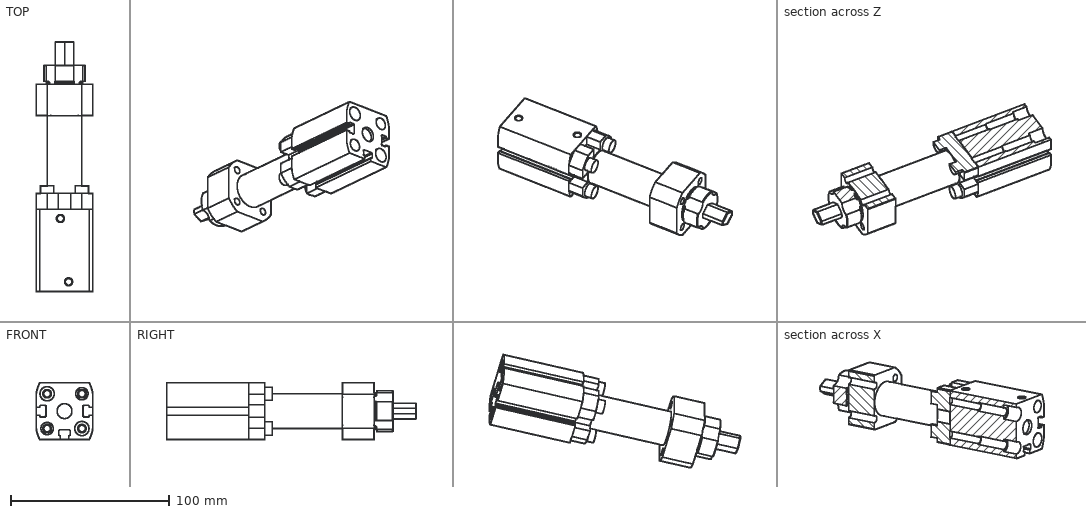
import cadquery as cq
import math

SIZE = 36.0
HALF = SIZE / 2
BOLT_OFFSET = 11.0

BLOCK_END = 52.1
FLANGE_END = BLOCK_END + 10.0
HEAD_END = FLANGE_END + 4.8
CLAMP_START = 111.2
CLAMP_END = CLAMP_START + 20.0
COLLAR_END = 143.2
SHAFT_END = 158.0

TOP_FLAT_HALF = 15.6
SIDE_FLAT_HALF = 11.1
ARC_END_X = 16.0
ARC_END_Z = 17.5
SIDE_ARC_RADIUS = 30.0
SLOT_MOUTH_WIDTH = 5.2
SLOT_MOUTH_DEPTH = 2.4
SLOT_WIDTH = 7.2
SLOT_DEPTH = 6.2
SLOT_BEVEL = 0.5
COUNTERBORE_DIA = 9.0
THREAD_BORE_DIA = 7.8
CORNER_BORE_DEPTH = 10.0
BOLT_HOLE_DIA = 5.3
BOLT_CORE_DIA = 4.3
BOLT_STEP_DEPTH = 30.0
RECESS_DIA = 9.4
RECESS_DEPTH = 2.0
PORT_DIA = 4.2
PORT_MOUTH_DIA = 5.0
PORT_DEPTH = 6.0
PORTS = [(2.6, 6.2), (-2.6, 46.2)]

CORNER_CIRCLE_DIA = 42.0
NOTCH_WIDTH = 8.0
NOTCH_FLOOR = 11.5
TUBE_DIA = 22.0
HEAD_DIA = 8.5
CLAMP_HOLE_DIA = 4.4

COLLAR_DIA = 26.0
COLLAR_CHAMFER = 0.4
FLUTE_RADIUS = 5.1
GROOVE_WIDTH = 1.7
GROOVE_RIM_RADIUS = 11.8
GROOVE_ROOT_RADIUS = 11.2
SHAFT_DIA = 12.0
SHAFT_RIDGE = 5.0
FLAT_SLOPE = math.radians(30)
SHAFT_CHAMFER = 0.5

BOLT_POINTS = [(x, z) for x in (-BOLT_OFFSET, BOLT_OFFSET) for z in (-BOLT_OFFSET, BOLT_OFFSET)]


def section(y):
    """Sketch plane at station y: local axes X and Z; negative extrusions run toward +Y."""
    return cq.Workplane(cq.Plane((0, y, 0), xDir=(1, 0, 0), normal=(0, -1, 0)))


def cylinder(diameter, start, end, points=((0, 0),)):
    """Cylinders parallel to Y between two stations."""
    return section(start).pushPoints(list(points)).circle(diameter / 2).extrude(start - end)


def rounded_square(start, end):
    """Square bar whose corners are cut by the corner circle."""
    bar = section(start).rect(SIZE, SIZE).extrude(start - end)
    return bar.intersect(cylinder(CORNER_CIRCLE_DIA, start, end))


def block_profile():
    """Flats on all four sides, joined by shallow arcs and narrow bevels."""
    radius = SIDE_ARC_RADIUS
    return (
        section(0)
        .moveTo(-TOP_FLAT_HALF, HALF)
        .lineTo(TOP_FLAT_HALF, HALF)
        .lineTo(ARC_END_X, ARC_END_Z)
        .radiusArc((HALF, SIDE_FLAT_HALF), radius)
        .lineTo(HALF, -SIDE_FLAT_HALF)
        .radiusArc((ARC_END_X, -ARC_END_Z), radius)
        .lineTo(TOP_FLAT_HALF, -HALF)
        .lineTo(-TOP_FLAT_HALF, -HALF)
        .lineTo(-ARC_END_X, -ARC_END_Z)
        .radiusArc((-HALF, -SIDE_FLAT_HALF), radius)
        .lineTo(-HALF, SIDE_FLAT_HALF)
        .radiusArc((-ARC_END_X, ARC_END_Z), radius)
        .close()
    )


def sensor_slot(angle):
    """T-slot open toward -Z, turned about the Y axis to another side."""
    mouth = section(0).center(0, -HALF + SLOT_DEPTH / 2).rect(SLOT_MOUTH_WIDTH, SLOT_DEPTH)
    head_height = SLOT_DEPTH - SLOT_MOUTH_DEPTH
    head = section(0).center(0, -HALF + SLOT_MOUTH_DEPTH + head_height / 2).rect(SLOT_WIDTH, head_height)
    head = head.extrude(-BLOCK_END).edges("|Y").chamfer(SLOT_BEVEL)
    slot = mouth.extrude(-BLOCK_END).union(head)
    return slot.rotate((0, 0, 0), (0, 1, 0), angle)


def make_block():
    """Cylinder block with sensor slots, corner bores, end recess and two ports."""
    block = block_profile().extrude(-BLOCK_END)
    for angle in (0, 90, -90):
        block = block.cut(sensor_slot(angle))
    for x, z in BOLT_POINTS:
        bore_dia = COUNTERBORE_DIA if x * z < 0 else THREAD_BORE_DIA
        block = block.cut(cylinder(bore_dia, 0, CORNER_BORE_DEPTH, [(x, z)]))
    block = block.cut(cylinder(BOLT_HOLE_DIA, 0, BOLT_STEP_DEPTH, BOLT_POINTS))
    block = block.cut(cylinder(BOLT_CORE_DIA, 0, BLOCK_END, BOLT_POINTS))
    block = block.cut(cylinder(RECESS_DIA, 0, RECESS_DEPTH))
    top = cq.Workplane("XY", origin=(0, 0, HALF)).pushPoints(PORTS)
    mouth_chamfer = (PORT_MOUTH_DIA - PORT_DIA) / 2
    port = top.circle(PORT_DIA / 2).extrude(-PORT_DEPTH)
    mouth = top.circle(PORT_MOUTH_DIA / 2).extrude(-mouth_chamfer, taper=45)
    return block.cut(port).cut(mouth)


def make_tube_frame():
    """Notched flange with screw heads, tube and drilled clamp block."""
    flange = rounded_square(BLOCK_END, FLANGE_END)
    notch_depth = HALF - NOTCH_FLOOR
    notch = section(BLOCK_END).center(0, NOTCH_FLOOR + notch_depth / 2).rect(NOTCH_WIDTH, notch_depth)
    notch = notch.extrude(BLOCK_END - FLANGE_END)
    for angle in (0, 90, 180, 270):
        flange = flange.cut(notch.rotate((0, 0, 0), (0, 1, 0), angle))
    heads = cylinder(HEAD_DIA, FLANGE_END, HEAD_END, BOLT_POINTS)
    tube = cylinder(TUBE_DIA, BLOCK_END, CLAMP_START)
    clamp = rounded_square(CLAMP_START, CLAMP_END)
    clamp = clamp.cut(cylinder(CLAMP_HOLE_DIA, CLAMP_START, CLAMP_END, BOLT_POINTS))
    return tube.union(flange).union(heads).union(clamp)


def make_spindle():
    """Fluted collar with a groove at its base, and a shaft with four sloping flats."""
    groove_end = CLAMP_END + GROOVE_WIDTH
    collar_radius = COLLAR_DIA / 2
    collar = (
        cq.Workplane("XY")
        .moveTo(0, CLAMP_END)
        .lineTo(GROOVE_RIM_RADIUS, CLAMP_END)
        .lineTo(GROOVE_ROOT_RADIUS, CLAMP_END + GROOVE_WIDTH / 2)
        .lineTo(GROOVE_RIM_RADIUS, groove_end)
        .lineTo(collar_radius, groove_end)
        .lineTo(collar_radius, COLLAR_END - COLLAR_CHAMFER)
        .lineTo(collar_radius - COLLAR_CHAMFER, COLLAR_END)
        .lineTo(0, COLLAR_END)
        .close()
        .revolve(360, (0, 0, 0), (0, 1, 0))
    )
    collar = collar.cut(cylinder(2 * FLUTE_RADIUS, CLAMP_END, COLLAR_END, BOLT_POINTS))

    ridge_x = SHAFT_RIDGE / math.tan(FLAT_SLOPE)
    flats = section(COLLAR_END).polyline(
        [(0, SHAFT_RIDGE), (ridge_x, 0), (0, -SHAFT_RIDGE), (-ridge_x, 0)]
    ).close().extrude(COLLAR_END - SHAFT_END)
    shaft = flats.intersect(cylinder(SHAFT_DIA, COLLAR_END, SHAFT_END))
    shaft = shaft.faces(">Y").chamfer(SHAFT_CHAMFER)
    return collar.union(shaft)


block = make_block()
tube_frame = make_tube_frame()
spindle = make_spindle()
result = cq.Compound.makeCompound([block.val(), tube_frame.val(), spindle.val()])